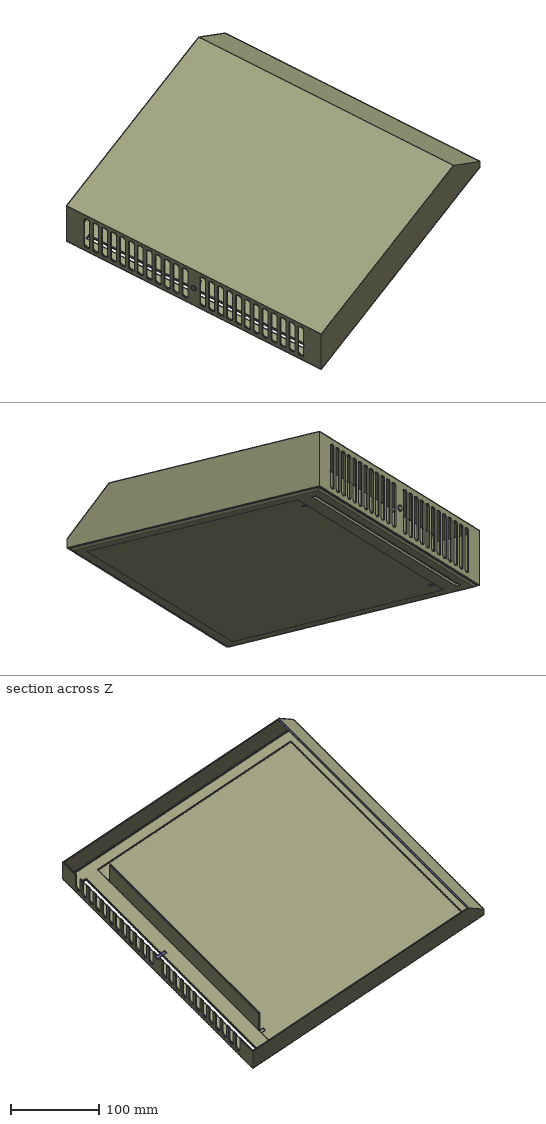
import cadquery as cq

width = 341.5
cover_depth = 338.5
overall_height = 70.0
cover_bottom = 2.7
wall = 1.7
slope_run = 56.7

slot_width = 8.0
slot_corner = 3.5
slot_length = 54.3
slot_pitch = 12.0
slots_per_group = 12
outer_slot_x = 143.5

base_top = 3.5
base_inset = 3.0
base_edge_round = 2.0
slit_start = 15.0
slit_width = 5.8
slit_half_length = 153.5
opening_start = 38.5
opening_rear_margin = 17.0
opening_half_width = 155.0

panel_thickness = 1.5
baffle_half_width = 133.8
baffle_top = 60.0
baffle_thickness = 2.0
baffle_corner = 3.5
relief_width = 3.5
relief_depth = 6.8

head_diameter = 7.0
head_height = 1.7
head_round = 1.0
shank_diameter = 5.0
shank_end = 12.0

front_y = -cover_depth / 2
rear_y = cover_depth / 2
mid_height = (cover_bottom + overall_height) / 2
opening_end = cover_depth - opening_rear_margin
inner_width = width - 2 * wall


def side_outline(inset, bottom):
    """Side shape of the cover in Y and Z, moved inwards by inset."""
    rear = rear_y - inset
    top = overall_height - inset
    slope_sum = rear_y - slope_run + overall_height - inset * 2**0.5
    return [
        (front_y + inset, bottom),
        (front_y + inset, top),
        (slope_sum - top, top),
        (rear, slope_sum - rear),
        (rear, bottom),
    ]


def extrude_across(outline, full_width):
    """Solid with a Y-Z outline, centred on X."""
    return cq.Workplane("YZ").polyline(outline).close().extrude(full_width / 2, both=True)


def front_plane():
    """Sketch plane on the front wall at slot height; positive extrusion goes outwards."""
    return cq.Workplane("XZ", origin=(0, front_y, mid_height))


def make_cover():
    """Thin shell with two groups of slots and the screw hole in its front wall."""
    shell = extrude_across(side_outline(0, cover_bottom), width)
    cavity = extrude_across(side_outline(wall, cover_bottom), inner_width)
    places = []
    for index in range(slots_per_group):
        x = outer_slot_x - index * slot_pitch
        places += [(x, 0), (-x, 0)]
    slots = front_plane().pushPoints(places).rect(slot_width, slot_length).extrude(-wall)
    slots = slots.edges("|Y").fillet(slot_corner)
    screw_hole = front_plane().circle(shank_diameter / 2).extrude(-wall)
    return shell.cut(cavity).cut(slots).cut(screw_hole)


def block(half_width, y_start, y_end, z_start, z_end):
    """Box centred on X, with its front and rear measured from the front of the cover."""
    corner = (-half_width, front_y + y_start, z_start)
    size = (2 * half_width, y_end - y_start, z_end - z_start)
    return cq.Workplane("XY").box(*size, centered=False).translate(corner)


def make_base():
    """Floor that fits between the cover walls, on a foot set in from the cover."""
    foot = block(width / 2 - base_inset, base_inset, cover_depth - base_inset, 0, cover_bottom)
    foot = foot.faces("<Z").edges().fillet(base_edge_round)
    floor = block(inner_width / 2, wall, cover_depth - wall, cover_bottom, base_top).union(foot)
    slit = block(slit_half_length, slit_start, slit_start + slit_width, 0, base_top)
    opening = block(opening_half_width, opening_start, opening_end, 0, base_top)
    return floor.cut(slit).cut(opening)


def make_panel():
    """Plate with the standing baffle; small notches free the ends of the baffle."""
    plate = block(opening_half_width, opening_start, opening_end, 0, panel_thickness)
    baffle_end = opening_start + baffle_thickness
    baffle = block(baffle_half_width, opening_start, baffle_end, 0, baffle_top)
    baffle = baffle.edges("|Y and >Z").chamfer(baffle_corner)
    relief_end = opening_start + relief_depth
    relief_outer = baffle_half_width + relief_width
    reliefs = block(relief_outer, opening_start, relief_end, 0, panel_thickness).cut(
        block(baffle_half_width, opening_start, relief_end, 0, panel_thickness)
    )
    return plate.cut(reliefs).union(baffle)


def make_screw():
    """Round-edged head on the front wall with its shank through the wall."""
    head = front_plane().circle(head_diameter / 2).extrude(head_height)
    head = head.faces("<Y").edges().fillet(head_round)
    shank = front_plane().circle(shank_diameter / 2).extrude(-shank_end)
    return head.union(shank)


cover = make_cover()
base = make_base()
panel = make_panel()
screw = make_screw()

result = cq.Compound.makeCompound([cover.val(), base.val(), panel.val(), screw.val()])